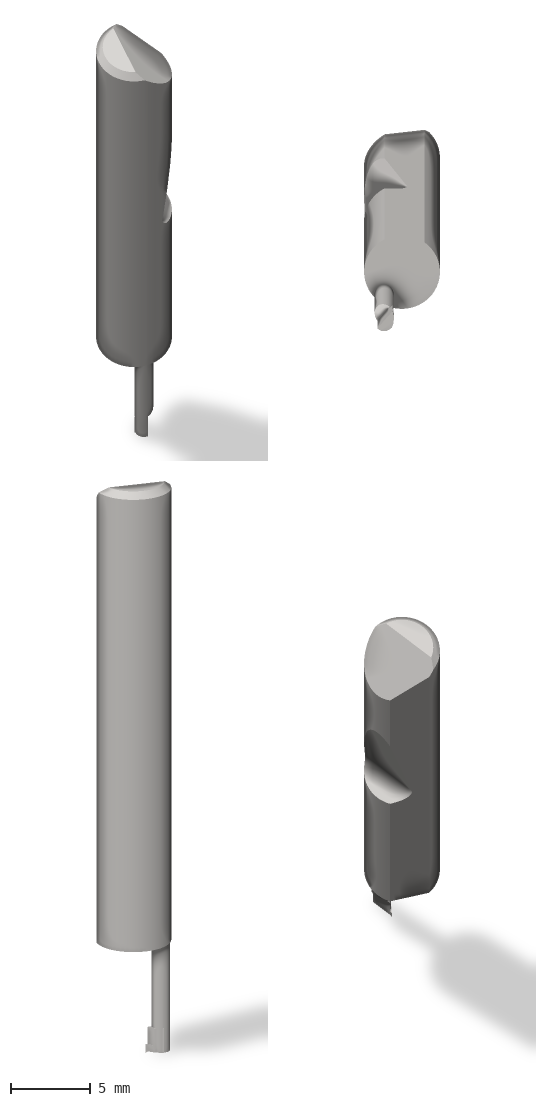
import cadquery as cq
import math

total_length = 38.1
shank_diameter = 4.75
shank_radius = shank_diameter / 2
neck_length = 7.62
end_chamfer = 0.42

flat_distance = 2.02
flat_angle = 144.0

bevel_start_y = -0.65

notch_top_z = 29.95
notch_bottom_z = 21.0
notch_tilt = 9.5
notch_fillet = 0.95

neck_radius = 0.59
neck_center_y = -0.057
neck_center_x = shank_radius - neck_radius

head_top_z = 1.7
head_bottom_z = 0.1
head_tip_x = 0.935
tooth_tip_x = 0.82
tooth_top_z = 0.57
relief_corner_x = 1.25
relief_depth = 0.42
heel_depth = 0.7
rake_runout_z = 2.2
rake_start_z = 2.7
rake_arc_radius = 1.15


def make_shank():
    shank = (
        cq.Workplane("XY", origin=(0, 0, neck_length))
        .circle(shank_radius)
        .extrude(total_length - neck_length)
        .faces(">Z")
        .chamfer(end_chamfer)
    )
    flat_cutter = (
        cq.Workplane("XY")
        .box(shank_diameter, 2 * shank_diameter, total_length, centered=(False, True, False))
        .translate((flat_distance, 0, 0))
        .rotate((0, 0, 0), (0, 0, 1), flat_angle)
    )
    return shank.cut(flat_cutter).cut(make_bevel_cutter()).cut(make_notch_cutter())


def make_bevel_cutter():
    bevel_drop = shank_diameter
    return (
        cq.Workplane("YZ")
        .moveTo(bevel_start_y, total_length)
        .lineTo(bevel_start_y + bevel_drop, total_length - bevel_drop)
        .lineTo(bevel_start_y + bevel_drop, total_length)
        .close()
        .extrude(shank_radius, both=True)
    )


def make_notch_cutter():
    tilt = math.radians(notch_tilt)
    long_wall = (notch_top_z - notch_bottom_z) * math.cos(tilt)
    corner_y = shank_radius - long_wall * math.sin(tilt)
    corner_z = notch_top_z - long_wall * math.cos(tilt)
    return (
        cq.Workplane("YZ")
        .moveTo(shank_radius, notch_top_z)
        .lineTo(corner_y, corner_z)
        .lineTo(shank_radius, notch_bottom_z)
        .close()
        .extrude(shank_radius, both=True)
        .edges("|X")
        .edges("<Y")
        .fillet(notch_fillet)
    )


def make_neck():
    rod = (
        cq.Workplane("XY", origin=(0, 0, head_bottom_z))
        .center(neck_center_x, neck_center_y)
        .circle(neck_radius)
        .extrude(neck_length - head_bottom_z)
    )
    rake_cutter = (
        cq.Workplane("YZ")
        .moveTo(0, 0)
        .lineTo(0, rake_runout_z)
        .radiusArc((neck_radius, rake_start_z), -rake_arc_radius)
        .lineTo(neck_radius, 0)
        .close()
        .extrude(shank_diameter)
    )
    return rod.cut(rake_cutter)


def make_relieved_block(tip_x, bottom_z, top_z):
    return (
        cq.Workplane("XY", origin=(0, 0, bottom_z))
        .moveTo(tip_x, 0)
        .lineTo(neck_center_x, 0)
        .lineTo(neck_center_x, -heel_depth)
        .lineTo(relief_corner_x, -relief_depth)
        .close()
        .extrude(top_z - bottom_z)
    )


def make_tooth():
    tooth = make_relieved_block(tooth_tip_x, 0, tooth_top_z)
    end_relief_x = (
        cq.Workplane("XZ")
        .moveTo(tooth_tip_x, 0)
        .lineTo(head_tip_x, head_bottom_z)
        .lineTo(neck_center_x, head_bottom_z)
        .lineTo(neck_center_x, 0)
        .close()
        .extrude(heel_depth)
    )
    end_relief_y = (
        cq.Workplane("YZ")
        .moveTo(0, 0)
        .lineTo(-relief_depth, head_bottom_z)
        .lineTo(-heel_depth, head_bottom_z)
        .lineTo(-heel_depth, 0)
        .close()
        .extrude(neck_center_x)
    )
    return tooth.cut(end_relief_x).cut(end_relief_y)


head = make_relieved_block(head_tip_x, head_bottom_z, head_top_z)
result = make_shank().union(make_neck()).union(head).union(make_tooth())